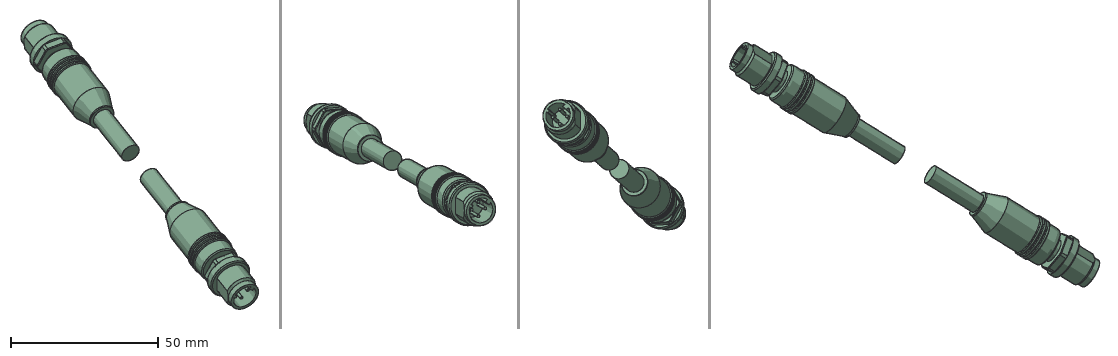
import cadquery as cq
import math


OVERALL_LENGTH = 147.7

NOSE_RADIUS = 5.3
NOSE_LENGTH = 2.0
THREAD_RADIUS = 6.0
THREAD_START = 2.8
FLAT_DISTANCE = NOSE_RADIUS

FLANGE_START = 9.9
FLANGE_RADIUS = 7.5
FLANGE_CHAMFER = 0.5
HEX_START = 12.7
HEX_END = 15.4
HEX_ACROSS_FLATS = 13.3
HEX_CORNER_RADIUS = 7.4
HEX_CHAMFER = 0.3
HEX_SIDES = 6

NECK_RADIUS = 4.1

GRIP_START = 17.5
GRIP_RADIUS = 7.1
LEAD_IN_RADIUS = 7.0
LEAD_IN_LENGTH = 1.5
FRONT_CHAMFER = 0.5
CONE_START = 39.9
CONE_END = 46.8
GRIP_END = 47.4
CONE_END_RADIUS = 4.6

RING_COUNT = 3
RING_START = 22.3
RING_PITCH = 1.5
RING_BASE_WIDTH = 1.3
RING_CREST_WIDTH = 0.7
RING_RADIUS = FLANGE_RADIUS

CABLE_RADIUS = 3.4
CABLE_END = 67.4

SOCKET_RADIUS = 4.3
SOCKET_DEPTH = 8.9
PIN_COUNT = 4
PIN_RADIUS = 0.5
PIN_CIRCLE_RADIUS = 2.5
PIN_SETBACK = 2.4
KEYS = [
    (135.0, 1.8, 3.2),
    (26.0, 1.0, 3.5),
]


def cylinder(start, end, radius):
    """Cylinder about the X axis between two stations."""
    return cq.Workplane("YZ", origin=(start, 0, 0)).circle(radius).extrude(end - start)


def revolve_outline(outline):
    """Full turn of a closed (distance, radius) outline about the X axis."""
    return cq.Workplane("XY").polyline(outline).close().revolve(360, (0, 0, 0), (1, 0, 0))


def make_profile():
    """Turned shape from the mating face to the cable end, without the hexagon."""
    outline = [
        (0, 0),
        (0, NOSE_RADIUS),
        (NOSE_LENGTH, NOSE_RADIUS),
        (THREAD_START, THREAD_RADIUS),
        (FLANGE_START, THREAD_RADIUS),
        (FLANGE_START, FLANGE_RADIUS - FLANGE_CHAMFER),
        (FLANGE_START + FLANGE_CHAMFER, FLANGE_RADIUS),
        (HEX_START, FLANGE_RADIUS),
        (HEX_START, NECK_RADIUS),
        (GRIP_START, NECK_RADIUS),
        (GRIP_START, LEAD_IN_RADIUS - FRONT_CHAMFER),
        (GRIP_START + FRONT_CHAMFER, LEAD_IN_RADIUS),
        (GRIP_START + LEAD_IN_LENGTH, GRIP_RADIUS),
        (CONE_START, GRIP_RADIUS),
        (CONE_END, CONE_END_RADIUS),
        (GRIP_END, CONE_END_RADIUS),
        (GRIP_END, CABLE_RADIUS),
        (CABLE_END, CABLE_RADIUS),
        (CABLE_END, 0),
    ]
    return revolve_outline(outline)


def cut_wrench_flats(body):
    """Two flats on the thread, facing +Y and -Y."""
    for side in (1, -1):
        cutter = cq.Workplane("XY").box(
            FLANGE_START, 2 * THREAD_RADIUS, 2 * THREAD_RADIUS, centered=(False, True, True)
        )
        body = body.cut(cutter.translate((0, side * (FLAT_DISTANCE + THREAD_RADIUS), 0)))
    return body


def make_hexagon():
    """Hexagon with flats facing +Z and -Z, its corners turned round and its end chamfered."""
    length = HEX_END - HEX_START
    across_corners = HEX_ACROSS_FLATS / math.cos(math.pi / HEX_SIDES)
    hexagon = cq.Workplane("YZ", origin=(HEX_START, 0, 0)).polygon(HEX_SIDES, across_corners).extrude(length)
    turned = cylinder(HEX_START, HEX_END, HEX_CORNER_RADIUS)
    return hexagon.intersect(turned).faces(">X").chamfer(HEX_CHAMFER)


def make_ring(index):
    """One raised ring round the grip."""
    start = RING_START + index * RING_PITCH
    slope = (RING_BASE_WIDTH - RING_CREST_WIDTH) / 2
    outline = [
        (start, 0),
        (start, GRIP_RADIUS),
        (start + slope, RING_RADIUS),
        (start + slope + RING_CREST_WIDTH, RING_RADIUS),
        (start + RING_BASE_WIDTH, GRIP_RADIUS),
        (start + RING_BASE_WIDTH, 0),
    ]
    return revolve_outline(outline)


def make_pin(index):
    """Contact pin standing on the socket floor."""
    angle = math.radians(index * 360 / PIN_COUNT)
    pin = cylinder(PIN_SETBACK, SOCKET_DEPTH, PIN_RADIUS)
    return pin.translate((0, PIN_CIRCLE_RADIUS * math.cos(angle), PIN_CIRCLE_RADIUS * math.sin(angle)))


def make_key(angle, width, tip_distance):
    """Coding rib along the socket wall."""
    root_distance = (SOCKET_RADIUS + NOSE_RADIUS) / 2
    height = root_distance - tip_distance
    rib = cq.Workplane("XY").box(SOCKET_DEPTH, height, width, centered=(False, False, True))
    return rib.translate((0, tip_distance, 0)).rotate((0, 0, 0), (1, 0, 0), angle)


def make_connector():
    """Complete connector with its mating face at X = 0 and its cable towards +X."""
    body = cut_wrench_flats(make_profile())
    body = body.union(make_hexagon())
    for index in range(RING_COUNT):
        body = body.union(make_ring(index))
    body = body.cut(cylinder(0, SOCKET_DEPTH, SOCKET_RADIUS))
    for index in range(PIN_COUNT):
        body = body.union(make_pin(index))
    for angle, width, tip_distance in KEYS:
        body = body.union(make_key(angle, width, tip_distance))
    return body.translate((-OVERALL_LENGTH / 2, 0, 0))


connectors = []
for turn in (0, 180):
    connector = make_connector().rotate((0, 0, 0), (0, 0, 1), turn)
    connectors.append(connector.val())

result = cq.Compound.makeCompound(connectors)